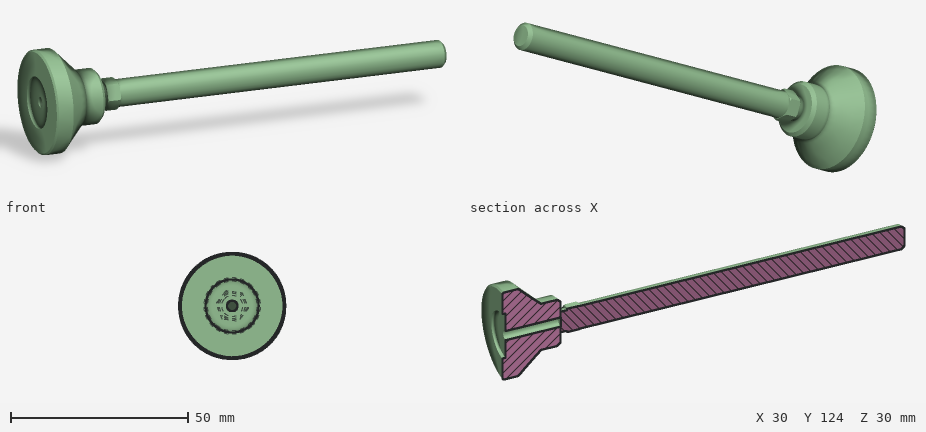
import cadquery as cq
import math

total_length = 124.0

foot_dia = 30.0
rim_height = 5.0
rim_chamfer = 0.5
collar_dia = 16.0
collar_top = 18.0
collar_chamfer = 1.0
recess_dia = 15.0
recess_depth = 1.0
bore_dia = 3.0

shaft_dia = 8.0
shaft_chamfer = 1.0
neck_dia = 7.2
neck_length = 2.0
hex_across_flats = 8.1
hex_height = 4.0
hex_corner_dia = 8.7
hex_bevel_height = 0.4
stud_turn = -8.0

hex_bottom = collar_top + neck_length
hex_top = hex_bottom + hex_height
cone_top = rim_height + (foot_dia - collar_dia) / 2


def cylinder(diameter, start, end):
    """Solid cylinder along the Y axis between two Y positions."""
    base = cq.Workplane("XZ", origin=(0, start, 0))
    return base.circle(diameter / 2).extrude(start - end)


def revolved(points):
    """Solid of revolution about the Y axis from (radius, Y) points."""
    return cq.Workplane("XY").polyline(points).close().revolve(360, (0, 0), (0, 1))


def make_foot():
    """Chamfered rim, cone and collar, with a recess and a central bore."""
    rim_radius = foot_dia / 2
    collar_radius = collar_dia / 2
    body = revolved([
        (0, 0),
        (rim_radius - rim_chamfer, 0),
        (rim_radius, rim_chamfer),
        (rim_radius, rim_height),
        (collar_radius, cone_top),
        (collar_radius, collar_top - collar_chamfer),
        (collar_radius - collar_chamfer, collar_top),
        (0, collar_top),
    ])
    body = body.cut(cylinder(recess_dia, 0, recess_depth))
    return body.cut(cylinder(bore_dia, 0, collar_top))


def make_hexagon():
    """Wrench hexagon with its corners bevelled at both ends."""
    corner_radius = hex_across_flats / 2 / math.cos(math.radians(30))
    end_radius = hex_corner_dia / 2
    prism = (
        cq.Workplane("XZ", origin=(0, hex_bottom, 0))
        .polygon(6, 2 * corner_radius)
        .extrude(-hex_height)
    )
    bevel_envelope = revolved([
        (0, hex_bottom),
        (end_radius, hex_bottom),
        (corner_radius, hex_bottom + hex_bevel_height),
        (corner_radius, hex_top - hex_bevel_height),
        (end_radius, hex_top),
        (0, hex_top),
    ])
    return prism.intersect(bevel_envelope)


def make_stud():
    """Neck standing on the collar, wrench hexagon and long shaft."""
    neck = cylinder(neck_dia, collar_top, hex_bottom)
    shaft = cylinder(shaft_dia, hex_top, total_length).faces(">Y").chamfer(shaft_chamfer)
    stud = neck.union(make_hexagon()).union(shaft)
    return stud.rotate((0, 0, 0), (0, -1, 0), stud_turn)


foot = make_foot()
stud = make_stud()
result = cq.Compound.makeCompound([foot.val(), stud.val()])